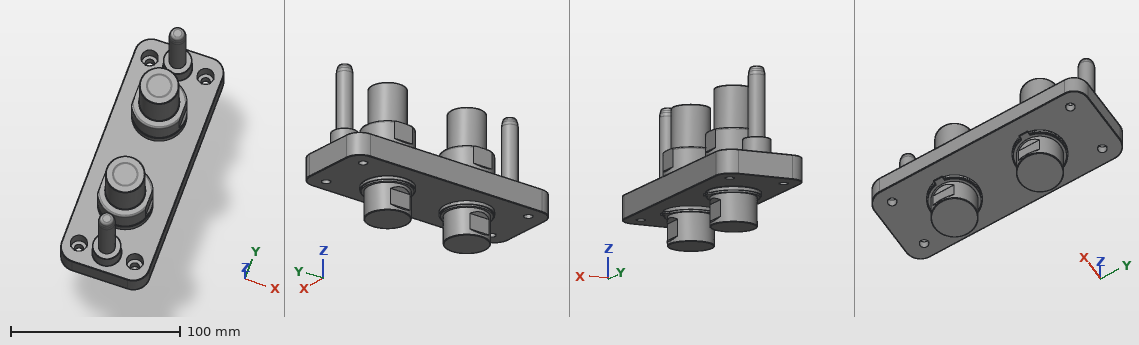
import cadquery as cq

PLATE_WIDTH = 55.0
PLATE_LENGTH = 150.0
PLATE_THICKNESS = 15.0
PLATE_CORNER_RADIUS = 10.0
PLATE_EDGE_CHAMFER = 0.5

END_STATION_Y = 62.5
SCREW_X = 17.5
SCREW_HOLE_DIAMETER = 5.5
SCREW_HEAD_DIAMETER = 10.0
SCREW_HEAD_DEPTH = 9.0

PIN_BOSS_DIAMETER = 17.0
PIN_BOSS_HEIGHT = 10.0
PIN_BOSS_CHAMFER = 0.3
PIN_SEAT_CHAMFER = 0.5
PIN_DIAMETER = 10.0
PIN_HEIGHT = 54.0
PIN_SHOULDER_DIAMETER = 9.5
PIN_TIP_DIAMETER = 8.5
PIN_TIP_FILLET = 1.8
PIN_TIP_CONE_HEIGHT = 1.4
PIN_SHOULDER_CONE_HEIGHT = 2.2

COUPLING_Y = 30.0
COUPLING_FLOAT = 0.5
NECK_DIAMETER = 31.5
NECK_LENGTH = PLATE_THICKNESS + COUPLING_FLOAT

COLLAR_DIAMETER = 33.0
COLLAR_HEIGHT = 20.5
COLLAR_FILLET = 1.0
GROOVE_BOTTOM = 4.0
GROOVE_HEIGHT = 0.9
GROOVE_DEPTH = 0.5
COLLAR_FLAT_DISTANCE = 15.0
COLLAR_FLAT_BOTTOM = 9.0
STEM_DIAMETER = 23.4
STEM_HEIGHT = 47.2
STEM_CHAMFER = 0.5
LIP_DIAMETER = 24.3
LIP_HEIGHT = 0.5
VALVE_FACE_DIAMETER = 13.8
VALVE_FACE_DEPTH = 0.2
VALVE_RIM_DIAMETER = 15.0

LOWER_FLANGE_THICKNESS = 2.1
CLIP_DIAMETER = 31.5
CLIP_THICKNESS = 1.0
CLIP_TAB_REACH = 18.3
CLIP_TAB_WIDTH = 6.0
TAIL_DIAMETER = 28.0
TAIL_LENGTH = 21.0
TAIL_CHAMFER = 0.5
TAIL_FLAT_DISTANCE = 12.0
TAIL_FLAT_TOP = 7.0
TAIL_FLAT_HEIGHT = 10.0


def disc(diameter, bottom, top):
    """Upright cylinder on the Z axis between two heights."""
    return cq.Workplane("XY").workplane(offset=bottom).circle(diameter / 2).extrude(top - bottom)


def cone(bottom_diameter, top_diameter, bottom, top):
    """Upright truncated cone on the Z axis between two heights."""
    solid = cq.Solid.makeCone(bottom_diameter / 2, top_diameter / 2, top - bottom)
    return cq.Workplane(solid).translate((0, 0, bottom))


def make_guide_pin():
    """Pin with its boss, standing on Z = 0; the tip tapers in two cones to a rounded end."""
    boss_radius = PIN_BOSS_DIAMETER / 2
    tip_radius = PIN_TIP_DIAMETER / 2
    tip_cone_top = PIN_HEIGHT - PIN_TIP_FILLET
    tip_cone_bottom = tip_cone_top - PIN_TIP_CONE_HEIGHT
    shoulder_bottom = tip_cone_bottom - PIN_SHOULDER_CONE_HEIGHT
    profile = (
        cq.Workplane("XZ")
        .lineTo(boss_radius, 0)
        .lineTo(boss_radius, PIN_BOSS_HEIGHT - PIN_BOSS_CHAMFER)
        .lineTo(boss_radius - PIN_BOSS_CHAMFER, PIN_BOSS_HEIGHT)
        .lineTo(PIN_DIAMETER / 2, PIN_BOSS_HEIGHT)
        .lineTo(PIN_DIAMETER / 2, shoulder_bottom)
        .lineTo(PIN_SHOULDER_DIAMETER / 2, tip_cone_bottom)
        .lineTo(tip_radius, tip_cone_top)
        .radiusArc((tip_radius - PIN_TIP_FILLET, PIN_HEIGHT), -PIN_TIP_FILLET)
        .lineTo(0, PIN_HEIGHT)
        .close()
    )
    return profile.revolve(360, (0, 0, 0), (0, 1, 0))


def make_pin_seat():
    """Ring to remove from the plate's top face: a 45 degree chamfer around a pin's boss."""
    bottom = PLATE_THICKNESS - PIN_SEAT_CHAMFER
    rim_diameter = PIN_BOSS_DIAMETER + 2 * PIN_SEAT_CHAMFER
    seat = cone(PIN_BOSS_DIAMETER, rim_diameter, bottom, PLATE_THICKNESS)
    return seat.cut(disc(PIN_BOSS_DIAMETER, bottom, PLATE_THICKNESS))


def make_plate():
    """Rounded plate with coupling holes, counterbored screw holes and two guide pins in chamfered seats."""
    plate = (
        cq.Workplane("XY")
        .box(PLATE_WIDTH, PLATE_LENGTH, PLATE_THICKNESS, centered=(True, True, False))
        .edges("|Z")
        .fillet(PLATE_CORNER_RADIUS)
        .faces("<Z or >Z")
        .chamfer(PLATE_EDGE_CHAMFER)
    )
    plate = (
        plate.faces(">Z")
        .workplane(origin=(0, 0, PLATE_THICKNESS))
        .rarray(2 * SCREW_X, 2 * END_STATION_Y, 2, 2)
        .cboreHole(SCREW_HOLE_DIAMETER, SCREW_HEAD_DIAMETER, SCREW_HEAD_DEPTH)
    )
    neck_hole = disc(NECK_DIAMETER, 0, PLATE_THICKNESS)
    pin_seat = make_pin_seat()
    pin = make_guide_pin()
    for side in (-1, 1):
        plate = plate.cut(neck_hole.translate((0, side * COUPLING_Y, 0)))
        plate = plate.cut(pin_seat.translate((0, side * END_STATION_Y, 0)))
        plate = plate.union(pin.translate((0, side * END_STATION_Y, PLATE_THICKNESS)))
    return plate


def cut_flat_pair(coupling, outline):
    """Cut spanner flats on the +X and -X sides, given the XZ outline of the +X cut."""
    cutter = cq.Workplane("XZ").polyline(outline).close().extrude(COLLAR_DIAMETER / 2, both=True)
    return coupling.cut(cutter).cut(cutter.mirror("YZ"))


def cut_collar_flats(coupling):
    """Two spanner flats open at the collar's top, each ending below in a 45 degree slope."""
    outer_x = COLLAR_DIAMETER / 2
    flat_depth = outer_x - COLLAR_FLAT_DISTANCE
    return cut_flat_pair(coupling, [
        (COLLAR_FLAT_DISTANCE, COLLAR_FLAT_BOTTOM),
        (outer_x, COLLAR_FLAT_BOTTOM - flat_depth),
        (outer_x, COLLAR_HEIGHT),
        (COLLAR_FLAT_DISTANCE, COLLAR_HEIGHT),
    ])


def cut_tail_flats(coupling):
    """Two spanner flats on the tail with a 45 degree slope at both ends."""
    outer_x = TAIL_DIAMETER / 2
    flat_depth = outer_x - TAIL_FLAT_DISTANCE
    top = -NECK_LENGTH - TAIL_FLAT_TOP
    bottom = top - TAIL_FLAT_HEIGHT
    return cut_flat_pair(coupling, [
        (TAIL_FLAT_DISTANCE, bottom),
        (outer_x, bottom - flat_depth),
        (outer_x, top + flat_depth),
        (TAIL_FLAT_DISTANCE, top),
    ])


def make_collar():
    """Collar with a rounded top edge, a low lip around the stem and a shallow sloped groove."""
    radius = COLLAR_DIAMETER / 2
    groove_top = GROOVE_BOTTOM + GROOVE_HEIGHT
    collar = disc(COLLAR_DIAMETER, 0, COLLAR_HEIGHT).faces(">Z").edges().fillet(COLLAR_FILLET)
    groove = (
        cq.Workplane("XZ")
        .polyline([
            (radius, GROOVE_BOTTOM),
            (radius, groove_top),
            (radius - GROOVE_DEPTH, groove_top),
        ])
        .close()
        .revolve(360, (0, 0, 0), (0, 1, 0))
    )
    lip = disc(LIP_DIAMETER, COLLAR_HEIGHT, COLLAR_HEIGHT + LIP_HEIGHT)
    return collar.cut(groove).union(lip)


def make_stem():
    """Plug stem with a chamfered rim and a slightly sunken valve face inside a shallow cone."""
    stem = disc(STEM_DIAMETER, 0, STEM_HEIGHT).faces(">Z").chamfer(STEM_CHAMFER)
    countersink = cone(VALVE_FACE_DIAMETER, VALVE_RIM_DIAMETER, STEM_HEIGHT - VALVE_FACE_DEPTH, STEM_HEIGHT)
    return stem.cut(countersink)


def make_retaining_clip(top):
    """Retaining ring around the tail with a tab towards +X."""
    bottom = top - CLIP_THICKNESS
    tab = (
        cq.Workplane("XY")
        .box(CLIP_TAB_REACH, CLIP_TAB_WIDTH, CLIP_THICKNESS, centered=(False, True, False))
        .translate((0, 0, bottom))
    )
    return disc(CLIP_DIAMETER, bottom, top).union(tab)


def make_coupling():
    """Coupling on the Z axis whose upper seating face lies on Z = 0."""
    flange_top = -NECK_LENGTH
    flange_bottom = flange_top - LOWER_FLANGE_THICKNESS
    tail_bottom = flange_top - TAIL_LENGTH
    tail = disc(TAIL_DIAMETER, tail_bottom, flange_bottom).faces("<Z").chamfer(TAIL_CHAMFER)
    coupling = (
        make_collar()
        .union(make_stem())
        .union(disc(NECK_DIAMETER, flange_top, 0))
        .union(disc(COLLAR_DIAMETER, flange_bottom, flange_top))
        .union(tail)
    )
    coupling = cut_collar_flats(coupling)
    coupling = cut_tail_flats(coupling)
    return coupling.union(make_retaining_clip(flange_bottom))


plate = make_plate()

couplings = []
for y, lift in ((COUPLING_Y, 0), (-COUPLING_Y, COUPLING_FLOAT)):
    couplings.append(make_coupling().translate((0, y, PLATE_THICKNESS + lift)))

result = cq.Compound.makeCompound([plate.val(), *[coupling.val() for coupling in couplings]])